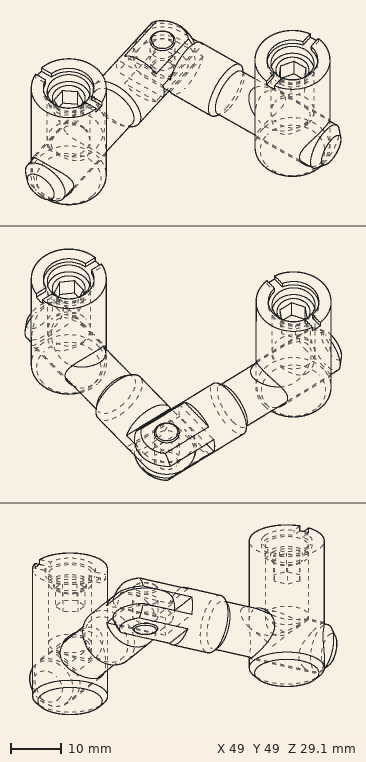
import cadquery as cq
import math


post_offset = 31.9
arm_reach = 41.45
post_bottom = -7.15
post_height = 29.1
post_top = post_bottom + post_height

hinge_radius = 5.85
rod_radius = 4.9
shoulder_end = 16.5
rod_end_chamfer = 1.55

dimple_shift = 3.2
dimple_depth = 6.85
dimple_tip = rod_radius - dimple_depth

tongue_half_thickness = 1.9
tongue_length = 5.9
fork_half_thickness = 4.4
fork_length = 7.55
fork_nose_radius = 6.95
fork_nose_center = 0.3
pin_radius = 2.5
pin_chamfer = 0.3
pin_half_length = fork_half_thickness + pin_chamfer

post_radius = 7.5
post_chamfer = 1.1
cross_hole_radius = 5.15
mouth_radius = 5.05
mouth_depth = 1.1
slot_width = 1.95

screw_radius = 4.285
screw_recess = 3.3
screw_top = post_top - screw_recess
screw_tip = dimple_tip + dimple_shift
socket_flats = 5.1
socket_depth = 4.9
socket_mouth_radius = 3.3
socket_mouth_depth = 0.9
socket_mouth_fillet = 0.5


def z_cylinder(radius, bottom, top):
    return cq.Workplane("XY").workplane(offset=bottom).circle(radius).extrude(top - bottom)


def revolve_about_z(points):
    """Solid of revolution about Z from (radius, height) points."""
    return cq.Workplane("XZ").polyline(points).close().revolve(360, (0, 0, 0), (0, 1, 0))


def hinge_slab(length, bottom, top):
    """Block that covers the hinge end of an arm, from beyond its nose to X = length."""
    clear = 2 * hinge_radius
    block = cq.Workplane("XY").box(length + clear, 2 * clear, top - bottom, centered=(False, True, False))
    return block.translate((-clear, 0, bottom))


def cut_cheeks(arm, length, half_thickness):
    """Flatten the hinge end of an arm to an even thickness about Z = 0."""
    beyond = 2 * hinge_radius
    upper = hinge_slab(length, half_thickness, beyond)
    lower = hinge_slab(length, -beyond, -half_thickness)
    return arm.cut(upper).cut(lower)


def build_dimple():
    rim_radius = dimple_depth + 0.5
    cone = revolve_about_z([(0, dimple_tip), (rim_radius, dimple_tip + rim_radius),
                            (0, dimple_tip + rim_radius)])
    return cone.translate((post_offset - dimple_shift, 0, 0))


def build_shaft(nose_radius, nose_center):
    """Round shaft along X with a spherical nose, a shoulder, a chamfered end and the dimple."""
    nose_edge = nose_center - math.sqrt(nose_radius**2 - hinge_radius**2)
    half_angle = math.asin(hinge_radius / nose_radius) / 2
    nose_middle = (nose_center - nose_radius * math.cos(half_angle), nose_radius * math.sin(half_angle))
    shoulder_start = shoulder_end - (hinge_radius - rod_radius)
    outline = (
        cq.Workplane("XY")
        .moveTo(nose_center - nose_radius, 0)
        .threePointArc(nose_middle, (nose_edge, hinge_radius))
        .lineTo(shoulder_start, hinge_radius)
        .lineTo(shoulder_end, rod_radius)
        .lineTo(arm_reach - rod_end_chamfer, rod_radius)
        .lineTo(arm_reach, rod_radius - rod_end_chamfer)
        .lineTo(arm_reach, 0)
        .close()
    )
    return outline.revolve(360, (0, 0, 0), (1, 0, 0)).cut(build_dimple())


def build_tongue_arm():
    arm = build_shaft(hinge_radius, 0.0)
    arm = cut_cheeks(arm, tongue_length, tongue_half_thickness)
    return arm.cut(z_cylinder(pin_radius, -tongue_half_thickness, tongue_half_thickness))


def build_fork_arm():
    """Forked arm with its hinge pin fixed in both cheeks."""
    arm = build_shaft(fork_nose_radius, fork_nose_center)
    arm = cut_cheeks(arm, fork_length, fork_half_thickness)
    arm = arm.cut(hinge_slab(fork_length, -tongue_half_thickness, tongue_half_thickness))
    pin = z_cylinder(pin_radius, -pin_half_length, pin_half_length).faces("|Z").chamfer(pin_chamfer)
    return arm.union(pin)


def build_post():
    post = z_cylinder(post_radius, post_bottom, post_top).faces("<Z").chamfer(post_chamfer)
    cross_hole = cq.Workplane("YZ").circle(cross_hole_radius).extrude(post_radius, both=True)
    screw_bore = z_cylinder(screw_radius, 0, post_top)
    mouth_floor = post_top - mouth_depth
    slot = cq.Workplane("XY").box(slot_width, 2 * post_radius, mouth_depth, centered=(True, True, False))
    mouth = z_cylinder(mouth_radius, mouth_floor, post_top).union(slot.translate((0, 0, mouth_floor)))
    return post.cut(cross_hole).cut(screw_bore).cut(mouth).translate((post_offset, 0, 0))


def build_screw():
    body = revolve_about_z([(0, screw_tip), (screw_radius, screw_tip + screw_radius),
                            (screw_radius, screw_top), (0, screw_top)])
    corner_diameter = socket_flats / math.cos(math.pi / 6)
    socket = (
        cq.Workplane("XY").workplane(offset=screw_top - socket_depth)
        .polygon(6, corner_diameter).extrude(socket_depth)
    )
    socket_mouth = z_cylinder(socket_mouth_radius, screw_top - socket_mouth_depth, screw_top)
    socket_mouth = socket_mouth.faces("<Z").edges().fillet(socket_mouth_fillet)
    return body.cut(socket).cut(socket_mouth).translate((post_offset, 0, 0))


def turned_solid(body, angle):
    """The single solid of a body, turned about the hinge axis."""
    return body.rotate((0, 0, 0), (0, 0, 1), angle).solids().val()


tongue_side_angle = 0
fork_side_angle = -90

tongue_arm = turned_solid(build_tongue_arm(), tongue_side_angle)
fork_arm = turned_solid(build_fork_arm(), fork_side_angle)

posts = []
screws = []
for side_angle in (tongue_side_angle, fork_side_angle):
    posts.append(turned_solid(build_post(), side_angle))
    screws.append(turned_solid(build_screw(), side_angle))

result = cq.Compound.makeCompound([tongue_arm, fork_arm, *posts, *screws])